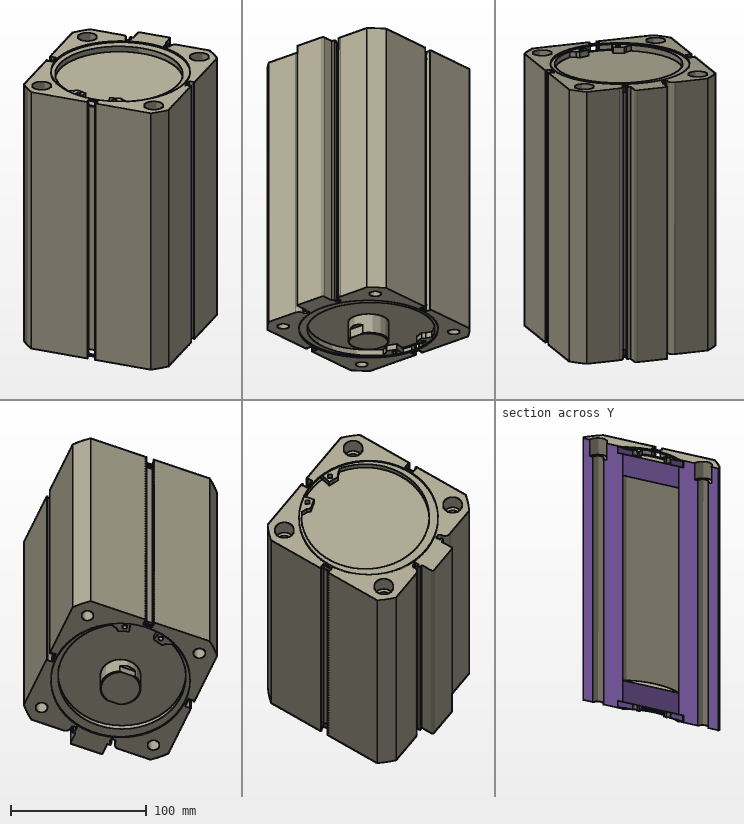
import cadquery as cq
import math


TOTAL_LENGTH = 220.0
ROD_PROTRUSION = 10.1
HOUSING_LENGTH = TOTAL_LENGTH - ROD_PROTRUSION
HOUSING_WIDTH = 115.0
HALF_WIDTH = HOUSING_WIDTH / 2
CORNER_RADIUS = 74.5
BORE_RADIUS = 51.3

RAIL_HEIGHT = 9.0
RAIL_HALF_WIDTH = 12.8
RAIL_EDGE_RADIUS = 1.0

RAIL_GROOVE_DEPTH = 6.4
RAIL_GROOVE_INNER_X = 13.6
RAIL_GROOVE_OUTER_X = 17.5
RAIL_GROOVE_FLOOR_RADIUS = 1.8
RAIL_GROOVE_MOUTH_RADIUS = 4.2
RAIL_LIP_X = 15.2
RAIL_LIP_TOP_DEPTH = 0.9
RAIL_LIP_BOTTOM_DEPTH = 3.0

SLOT_DEPTH = 4.6
SLOT_WIDTH = 7.0
SLOT_MOUTH_WIDTH = 5.7
SLOT_LIP = 0.9
SLOT_DIRECTIONS = (0, 180, 270)

HOLE_SPACING = 89.0
HOLE_RADIUS = 4.5
COUNTERBORE_RADIUS = 7.0
COUNTERBORE_DEPTH = 13.2

RING_INSET = 1.0
RING_THICKNESS = 4.5
RING_BOTTOMS = (RING_INSET, HOUSING_LENGTH - RING_INSET - RING_THICKNESS)
RING_OUTER_RADIUS = 53.2
RING_INNER_RADIUS = 47.0
RING_INNER_OFFSET = 2.9
RING_TURN = -1.0
RING_GAP_HALF_ANGLE = math.radians(12.8)
RING_EAR_END_RADIUS = 43.5
RING_EAR_TIP = (17.4, -39.8)
RING_EAR_HEEL = (19.5, -41.8)
RING_EAR_ROOT = (24.0, -43.3)
RING_EAR_BASE = (24.0, -46.2)
RING_HOLE_CENTER = (14.3, -45.0)
RING_HOLE_RADIUS = 1.8

COVER_INSET = RING_INSET + RING_THICKNESS
COVER_THICKNESS = 17.5
HEAD_COVER_BOTTOM = HOUSING_LENGTH - COVER_INSET - COVER_THICKNESS
ROD_RADIUS = 15.0
ROD_END_CHAMFER = 0.7
FLAT_OFFSET = 13.6
FLAT_DEPTH = ROD_RADIUS - FLAT_OFFSET
FLAT_LENGTH = 7.0
FLAT_START = FLAT_LENGTH - ROD_PROTRUSION


def rail_profile():
    """Port rail together with the band of housing between the two rail grooves."""
    floor_y = HALF_WIDTH - RAIL_GROOVE_DEPTH
    lip_bottom_y = HALF_WIDTH - RAIL_LIP_BOTTOM_DEPTH
    lip_top_y = HALF_WIDTH - RAIL_LIP_TOP_DEPTH
    rail_top_y = HALF_WIDTH + RAIL_HEIGHT
    right_side = [
        (RAIL_GROOVE_INNER_X, floor_y),
        (RAIL_GROOVE_INNER_X, lip_bottom_y),
        (RAIL_LIP_X, lip_bottom_y),
        (RAIL_LIP_X, lip_top_y),
        (RAIL_HALF_WIDTH, lip_top_y),
        (RAIL_HALF_WIDTH, rail_top_y),
    ]
    left_side = [(-x, y) for x, y in reversed(right_side)]
    rail = cq.Workplane("XY").polyline(right_side + left_side).close().extrude(HOUSING_LENGTH)
    return rail.edges("|Z and >Y").fillet(RAIL_EDGE_RADIUS)


def rail_recess():
    """Recess with rounded mouth edges that leaves room for the rail and its two grooves."""
    floor_y = HALF_WIDTH - RAIL_GROOVE_DEPTH
    wall_x = RAIL_GROOVE_OUTER_X
    floor_r = RAIL_GROOVE_FLOOR_RADIUS
    mouth_r = RAIL_GROOVE_MOUTH_RADIUS
    floor_end_x = wall_x - floor_r
    mouth_x = wall_x + mouth_r
    return (
        cq.Workplane("XY")
        .moveTo(-floor_end_x, floor_y)
        .lineTo(floor_end_x, floor_y)
        .radiusArc((wall_x, floor_y + floor_r), -floor_r)
        .lineTo(wall_x, HALF_WIDTH - mouth_r)
        .radiusArc((mouth_x, HALF_WIDTH), mouth_r)
        .lineTo(-mouth_x, HALF_WIDTH)
        .radiusArc((-wall_x, HALF_WIDTH - mouth_r), mouth_r)
        .lineTo(-wall_x, floor_y + floor_r)
        .radiusArc((-floor_end_x, floor_y), -floor_r)
        .close()
        .extrude(HOUSING_LENGTH)
    )


def sensor_slot(direction):
    """T-slot along the full length, opening towards the given direction."""
    inner_depth = SLOT_DEPTH - SLOT_LIP
    mouth = (
        cq.Workplane("XY")
        .center(HALF_WIDTH - SLOT_DEPTH / 2, 0)
        .rect(SLOT_DEPTH, SLOT_MOUTH_WIDTH)
        .extrude(HOUSING_LENGTH)
    )
    channel = (
        cq.Workplane("XY")
        .center(HALF_WIDTH - SLOT_LIP - inner_depth / 2, 0)
        .rect(inner_depth, SLOT_WIDTH)
        .extrude(HOUSING_LENGTH)
    )
    return mouth.union(channel).rotate((0, 0, 0), (0, 0, 1), direction)


def make_housing():
    body = cq.Workplane("XY").rect(HOUSING_WIDTH, HOUSING_WIDTH).extrude(HOUSING_LENGTH)
    body = body.intersect(cq.Workplane("XY").circle(CORNER_RADIUS).extrude(HOUSING_LENGTH))
    body = body.cut(rail_recess()).union(rail_profile())
    for direction in SLOT_DIRECTIONS:
        body = body.cut(sensor_slot(direction))

    body = body.cut(cq.Workplane("XY").circle(BORE_RADIUS).extrude(HOUSING_LENGTH))
    ring_groove = cq.Workplane("XY").circle(RING_OUTER_RADIUS).extrude(RING_THICKNESS)
    for groove_z in RING_BOTTOMS:
        body = body.cut(ring_groove.translate((0, 0, groove_z)))

    return (
        body.faces(">Z")
        .workplane(origin=(0, 0, HOUSING_LENGTH))
        .rect(HOLE_SPACING, HOLE_SPACING, forConstruction=True)
        .vertices()
        .cboreHole(2 * HOLE_RADIUS, 2 * COUNTERBORE_RADIUS, COUNTERBORE_DEPTH)
    )


def at_gap_edge(radius):
    """Point on the ring end face on the +X side of the gap."""
    return (radius * math.sin(RING_GAP_HALF_ANGLE), -radius * math.cos(RING_GAP_HALF_ANGLE))


def make_snap_ring(bottom_z):
    """Eccentric ring with a gap on the -Y side and a plier ear at each end."""
    ring = (
        cq.Workplane("XY")
        .circle(RING_OUTER_RADIUS)
        .extrude(RING_THICKNESS)
        .cut(
            cq.Workplane("XY")
            .center(0, -RING_INNER_OFFSET)
            .circle(RING_INNER_RADIUS)
            .extrude(RING_THICKNESS)
        )
    )
    gap_x, gap_y = at_gap_edge(2 * RING_OUTER_RADIUS)
    gap = (
        cq.Workplane("XY")
        .polyline([(0, 0), (gap_x, gap_y), (-gap_x, gap_y)])
        .close()
        .extrude(RING_THICKNESS)
    )
    ring = ring.cut(gap)

    ear_outline = [
        at_gap_edge(RING_EAR_END_RADIUS),
        RING_EAR_TIP,
        RING_EAR_HEEL,
        RING_EAR_ROOT,
        RING_EAR_BASE,
        at_gap_edge(BORE_RADIUS),
    ]
    ear = cq.Workplane("XY").polyline(ear_outline).close().extrude(RING_THICKNESS)
    ear_hole = (
        cq.Workplane("XY")
        .center(*RING_HOLE_CENTER)
        .circle(RING_HOLE_RADIUS)
        .extrude(RING_THICKNESS)
    )
    ring = ring.union(ear).union(ear.mirror("YZ"))
    ring = ring.cut(ear_hole).cut(ear_hole.mirror("YZ"))
    return ring.rotate((0, 0, 0), (0, 0, 1), RING_TURN).translate((0, 0, bottom_z))


def make_head_cover():
    """Plain disc that closes the upper end of the bore."""
    return (
        cq.Workplane("XY")
        .workplane(offset=HEAD_COVER_BOTTOM)
        .circle(BORE_RADIUS)
        .extrude(COVER_THICKNESS)
    )


def make_rod_cover():
    """Disc with a centre hole that guides the rod at the lower end of the bore."""
    return (
        cq.Workplane("XY")
        .workplane(offset=COVER_INSET)
        .circle(BORE_RADIUS)
        .circle(ROD_RADIUS)
        .extrude(COVER_THICKNESS)
    )


def make_rod():
    """Rod that reaches the head cover, with two wrench flats on its outer end."""
    rod = (
        cq.Workplane("XY")
        .workplane(offset=-ROD_PROTRUSION)
        .circle(ROD_RADIUS)
        .extrude(ROD_PROTRUSION + HEAD_COVER_BOTTOM)
        .faces("<Z")
        .chamfer(ROD_END_CHAMFER)
    )
    flat_cut = (
        cq.Workplane("YZ")
        .polyline([
            (FLAT_OFFSET, -ROD_PROTRUSION),
            (FLAT_OFFSET, FLAT_START),
            (ROD_RADIUS, FLAT_START + FLAT_DEPTH),
            (ROD_RADIUS, -ROD_PROTRUSION),
        ])
        .close()
        .extrude(ROD_RADIUS, both=True)
    )
    return rod.cut(flat_cut).cut(flat_cut.mirror("XZ"))


housing = make_housing()
head_cover = make_head_cover()
rod_cover = make_rod_cover()
rod = make_rod()
snap_rings = [make_snap_ring(bottom_z) for bottom_z in RING_BOTTOMS]

result = cq.Compound.makeCompound([
    housing.val(),
    head_cover.val(),
    rod_cover.val(),
    rod.val(),
    *[ring.val() for ring in snap_rings],
])